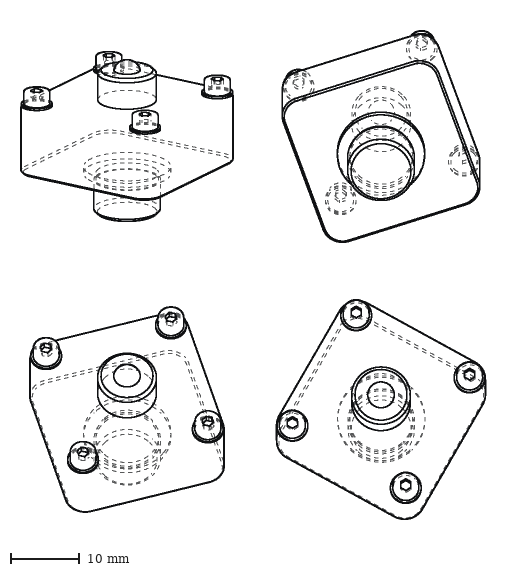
import cadquery as cq
import math

housing_width = 24.0
housing_corner_radius = 3.0
housing_bottom_chamfer = 0.3
housing_top_fillet = 0.35
housing_height = 10.3

spigot_diameter = 9.75
spigot_height = 5.0
spigot_chamfer = 0.5
neck_diameter = 9.2
neck_height = 1.0
flange_diameter = 12.75
flange_height = 1.0

nose_diameter = 8.6
nose_height = 4.58
nose_chamfer = 0.5
ball_diameter = 4.0
ball_protrusion = 1.5

screw_spacing = 19.0
washer_diameter = 4.5
washer_height = 0.3
head_diameter = 3.8
head_height = 2.0
head_edge_radius = 0.2
socket_across_flats = 1.5
socket_depth = 1.0
socket_tip_angle = 120.0

neck_bottom = spigot_height
flange_bottom = neck_bottom + neck_height
housing_bottom = flange_bottom + flange_height
housing_top = housing_bottom + housing_height
nose_top = housing_top + nose_height
head_bottom = housing_top + washer_height
head_top = head_bottom + head_height


def cylinder(diameter, height, bottom):
    """Upright cylinder on the Z axis."""
    return cq.Workplane("XY").workplane(offset=bottom).circle(diameter / 2).extrude(height)


def make_housing():
    """Square block with rounded corners, a chamfered bottom rim and a rounded top rim."""
    block = (
        cq.Workplane("XY")
        .workplane(offset=housing_bottom)
        .rect(housing_width, housing_width)
        .extrude(housing_height)
    )
    block = block.edges("|Z").fillet(housing_corner_radius)
    block = block.faces("<Z").chamfer(housing_bottom_chamfer)
    return block.faces(">Z").edges().fillet(housing_top_fillet)


def make_spigot():
    """Chamfered plug, relief neck and locating flange."""
    plug = cylinder(spigot_diameter, spigot_height, 0).faces("<Z").chamfer(spigot_chamfer)
    neck = cylinder(neck_diameter, neck_height, neck_bottom)
    flange = cylinder(flange_diameter, flange_height, flange_bottom)
    return plug.union(neck).union(flange)


def make_nose():
    """Chamfered cylinder with a ball standing out of its top."""
    nose = cylinder(nose_diameter, nose_height, housing_top).faces(">Z").chamfer(nose_chamfer)
    ball_radius = ball_diameter / 2
    ball_center = nose_top + ball_protrusion - ball_radius
    ball = cq.Workplane("XY").sphere(ball_radius).translate((0, 0, ball_center))
    return nose.union(ball)


def make_socket():
    """Hexagonal recess with corners toward +Y and -Y and a conical floor."""
    corner_radius = socket_across_flats / math.sqrt(3)
    tip_depth = corner_radius / math.tan(math.radians(socket_tip_angle / 2))
    floor = head_top - socket_depth
    tip = floor - tip_depth
    hexagon = (
        cq.Workplane("XY")
        .workplane(offset=tip)
        .transformed(rotate=(0, 0, 90))
        .polygon(6, 2 * corner_radius)
        .extrude(head_top - tip)
    )
    drill = (
        cq.Workplane("XZ")
        .moveTo(0, tip)
        .lineTo(corner_radius, floor)
        .lineTo(corner_radius, head_top)
        .lineTo(0, head_top)
        .close()
        .revolve(360, (0, 0, 0), (0, 1, 0))
    )
    return hexagon.intersect(drill)


def make_screw():
    """Washer and round-edged screw head with a hexagonal socket."""
    washer = cylinder(washer_diameter, washer_height, housing_top)
    head = cylinder(head_diameter, head_height, head_bottom)
    head = head.faces(">Z").edges().fillet(head_edge_radius)
    return washer.union(head).cut(make_socket())


result = make_housing().union(make_spigot()).union(make_nose())
screw = make_screw()
for x_side in (-1, 1):
    for y_side in (-1, 1):
        position = (x_side * screw_spacing / 2, y_side * screw_spacing / 2, 0)
        result = result.union(screw.translate(position))